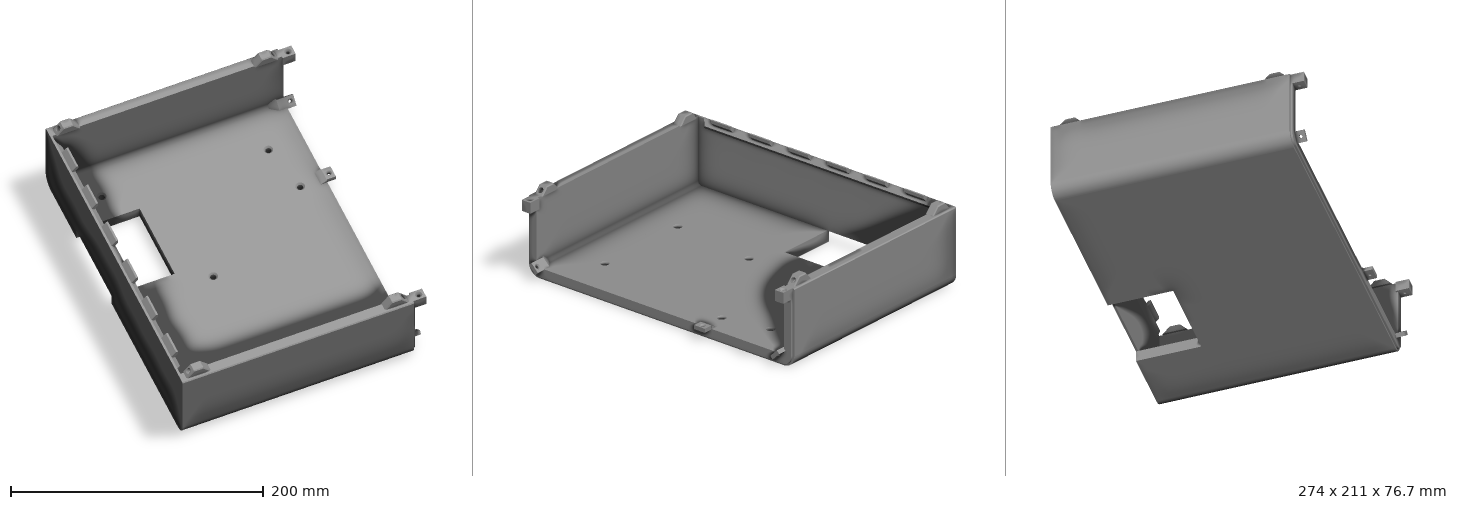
import cadquery as cq


WIDTH = 274.0
BODY_DEPTH = 199.7
BODY_HEIGHT = 70.0
OUTER_RADIUS = 10.7
SIDE_WALL = 9.0
FRONT_WALL = 2.0
FLOOR = 10.1
INNER_RADIUS = 3.3
RIM_CHAMFER = 0.8

LIP_INSET = 2.0
LIP_LENGTH = 1.6
LIP_BACK = BODY_DEPTH + LIP_LENGTH

OPENING_LEFT = 61.5
OPENING_WIDTH = 70.1
OPENING_DEPTH = 54.5

FLOOR_HOLE_DIAMETER = 5.0
FLOOR_HOLE_MOUTH = 7.7
FLOOR_HOLE_DEPTH = 8.2
FLOOR_HOLES = [(38.4, 31.8), (48.2, 171.2), (91.5, 180.0), (145.8, 81.7), (227.5, 72.0), (227.5, 162.0)]

TAB_COUNT = 6
TAB_ROW_SPAN = 199.5
TAB_PITCH = TAB_ROW_SPAN / (TAB_COUNT - 1)
TAB_LENGTH = 20.3
TAB_RISE = 4.0
TAB_BACK = 7.7
TAB_THICKNESS = 4.5
RIB_REACH = 4.0
RIB_END_GAP = 15.0

TOTAL_HEIGHT = 76.7
EAR_LEFT = 2.5
EAR_WIDTH = 8.2
EAR_CHAMFER = 0.8
EAR_BASE = 20.8
EAR_TOP = 8.2
EAR_CENTRES = [15.0, 186.0]
EAR_HOLE_DIAMETER = 5.0
EAR_HOLE_DEPTH = 4.0

LUG_HOLE_DIAMETER = 2.7
TOTAL_DEPTH = 211.0
UPPER_LUG_LEFT = 2.0
UPPER_LUG_WIDTH = 8.8
UPPER_LUG_HEIGHT = 9.5
UPPER_LUG_MOUTH = 6.0

PLATE_BACK = 209.0
PLATE_THICKNESS = 3.5
PLATE_MOUTH = 5.0
RAMP_RUN = 7.0
RAMP_SIDE_STEP = 0.8
CENTRE_LUG_WIDTH = 11.0
CENTRE_LUG_X = 90.1
CENTRE_LUG_RISE = 2.7
CENTRE_RAMP_TOP = 201.0
CORNER_LUG_WIDTH = 9.5
CORNER_LUG_X = 12.3
CORNER_LUG_Z = 11.8
CORNER_RAMP_TOP = 194.5
CORNER_LUG_TILT = 45


def box(x, y, z, length, depth, height):
    """Box given by its lowest corner and its size."""
    return cq.Workplane("XY").box(length, depth, height, centered=False).translate((x, y, z))


def countersunk_hole(x, y, bottom, top, diameter, mouth):
    """Upright hole that widens at 45 degrees to the mouth diameter at its top."""
    flare = (mouth - diameter) / 2
    profile = [(0, bottom), (diameter / 2, bottom), (diameter / 2, top - flare), (mouth / 2, top), (0, top)]
    return cq.Workplane("XZ").polyline(profile).close().revolve(360, (0, 0), (0, 1)).translate((x, y, 0))


def mirrored(shape):
    """The shape together with its mirror image across the middle of the tray."""
    return shape.union(shape.mirror("YZ", (WIDTH / 2, 0, 0)))


def rounded_block(inset, front, back):
    """Block with rounded lower edges running along Y."""
    block = box(inset, front, inset, WIDTH - 2 * inset, back - front, BODY_HEIGHT - inset)
    return block.edges("|Y and <Z").fillet(OUTER_RADIUS - inset)


def tray():
    body = rounded_block(0, 0, BODY_DEPTH).union(rounded_block(LIP_INSET, FRONT_WALL, LIP_BACK))
    for x in (0, WIDTH):
        rim_edge = cq.selectors.NearestToPointSelector((x, BODY_DEPTH / 2, BODY_HEIGHT))
        body = body.edges(rim_edge).chamfer(RIM_CHAMFER)
    inside = box(SIDE_WALL, FRONT_WALL, FLOOR, WIDTH - 2 * SIDE_WALL, LIP_BACK, BODY_HEIGHT)
    return body.cut(inside.edges("|Y and <Z").fillet(INNER_RADIUS))


def floor_cutouts():
    cutouts = box(OPENING_LEFT, 0, 0, OPENING_WIDTH, OPENING_DEPTH, FLOOR)
    bottom = FLOOR - FLOOR_HOLE_DEPTH
    for x, y in FLOOR_HOLES:
        hole = countersunk_hole(x, y, bottom, FLOOR, FLOOR_HOLE_DIAMETER, FLOOR_HOLE_MOUTH)
        cutouts = cutouts.union(hole)
    return cutouts


def rib():
    """Triangular rib behind the top of the front wall, its ends cut back at 45 degrees."""
    wall_half = WIDTH / 2 - RIB_END_GAP
    crest_half = wall_half - RIB_REACH
    crest_y = FRONT_WALL + RIB_REACH
    section = [
        (FRONT_WALL, BODY_HEIGHT),
        (crest_y, BODY_HEIGHT - RIB_REACH),
        (FRONT_WALL, BODY_HEIGHT - 2 * RIB_REACH),
    ]
    plan = [(-wall_half, FRONT_WALL), (wall_half, FRONT_WALL), (crest_half, crest_y), (-crest_half, crest_y)]
    bar = cq.Workplane("YZ").polyline(section).close().extrude(wall_half, both=True)
    outline = cq.Workplane("XY").polyline(plan).close().extrude(BODY_HEIGHT)
    return bar.intersect(outline).translate((WIDTH / 2, 0, 0))


def tabs():
    tab_top = BODY_HEIGHT + TAB_RISE
    root = BODY_HEIGHT - TAB_THICKNESS
    profile = [
        (FRONT_WALL, BODY_HEIGHT),
        (FRONT_WALL + TAB_RISE, tab_top),
        (TAB_BACK, tab_top),
        (TAB_BACK, root + TAB_BACK - FRONT_WALL),
        (FRONT_WALL, root),
    ]
    row = cq.Workplane("XY")
    for i in range(TAB_COUNT):
        middle = WIDTH / 2 + (i - (TAB_COUNT - 1) / 2) * TAB_PITCH
        section = cq.Workplane("YZ", origin=(middle, 0, 0)).polyline(profile).close()
        row = row.union(section.extrude(TAB_LENGTH / 2, both=True))
    return row


def ear(centre, outward):
    """Trapezoidal ear with a blind hole square to the slope facing the outward Y direction."""
    rise = TOTAL_HEIGHT - BODY_HEIGHT
    profile = [
        (centre - EAR_BASE / 2, BODY_HEIGHT),
        (centre + EAR_BASE / 2, BODY_HEIGHT),
        (centre + EAR_TOP / 2, TOTAL_HEIGHT),
        (centre - EAR_TOP / 2, TOTAL_HEIGHT),
    ]
    body = cq.Workplane("YZ", origin=(EAR_LEFT, 0, 0)).polyline(profile).close().extrude(EAR_WIDTH)
    body = body.faces("<X or >X").edges("not <Z").chamfer(EAR_CHAMFER)
    run = (EAR_BASE - EAR_TOP) / 2
    slope_y = centre + outward * (EAR_BASE + EAR_TOP) / 4
    slope = cq.Plane(
        origin=(EAR_LEFT + EAR_WIDTH / 2, slope_y, BODY_HEIGHT + rise / 2),
        xDir=(1, 0, 0),
        normal=(0, outward * rise, run),
    )
    return body.cut(cq.Workplane(slope).circle(EAR_HOLE_DIAMETER / 2).extrude(-EAR_HOLE_DEPTH))


def upper_lug():
    bottom = BODY_HEIGHT - UPPER_LUG_HEIGHT
    lug = box(UPPER_LUG_LEFT, BODY_DEPTH, bottom, UPPER_LUG_WIDTH, TOTAL_DEPTH - BODY_DEPTH, UPPER_LUG_HEIGHT)
    hole_x = UPPER_LUG_LEFT + UPPER_LUG_WIDTH / 2
    hole_y = (LIP_BACK + TOTAL_DEPTH) / 2
    return lug.cut(countersunk_hole(hole_x, hole_y, bottom, BODY_HEIGHT, LUG_HOLE_DIAMETER, UPPER_LUG_MOUTH))


def plate_lug(width, ramp_top):
    """Flat drilled plate about the Y axis; its upper face starts to ramp down at ramp_top."""
    half = PLATE_THICKNESS / 2
    plate = box(-width / 2, ramp_top, -half, width, PLATE_BACK - ramp_top, PLATE_THICKNESS)
    profile = [(ramp_top, half), (ramp_top - RAMP_RUN, -half), (ramp_top, -half)]
    ramp = cq.Workplane("YZ").polyline(profile).close().extrude(width / 2 + RAMP_SIDE_STEP, both=True)
    hole_y = (LIP_BACK + PLATE_BACK) / 2
    return plate.union(ramp).cut(countersunk_hole(0, hole_y, -half, half, LUG_HOLE_DIAMETER, PLATE_MOUTH))


def corner_lug():
    """Plate lug leaning across the corner between the floor and a side wall."""
    lug = plate_lug(CORNER_LUG_WIDTH, CORNER_RAMP_TOP).rotate((0, 0, 0), (0, 1, 0), CORNER_LUG_TILT)
    return lug.translate((CORNER_LUG_X, 0, CORNER_LUG_Z))


def centre_lug():
    middle_z = FLOOR + CENTRE_LUG_RISE - PLATE_THICKNESS / 2
    return plate_lug(CENTRE_LUG_WIDTH, CENTRE_RAMP_TOP).translate((CENTRE_LUG_X, 0, middle_z))


front_ear = ear(EAR_CENTRES[0], -1)
rear_ear = ear(EAR_CENTRES[1], 1)
side_features = front_ear.union(rear_ear).union(upper_lug()).union(corner_lug())

result = tray().cut(floor_cutouts()).union(rib()).union(tabs())
result = result.union(mirrored(side_features)).union(centre_lug())